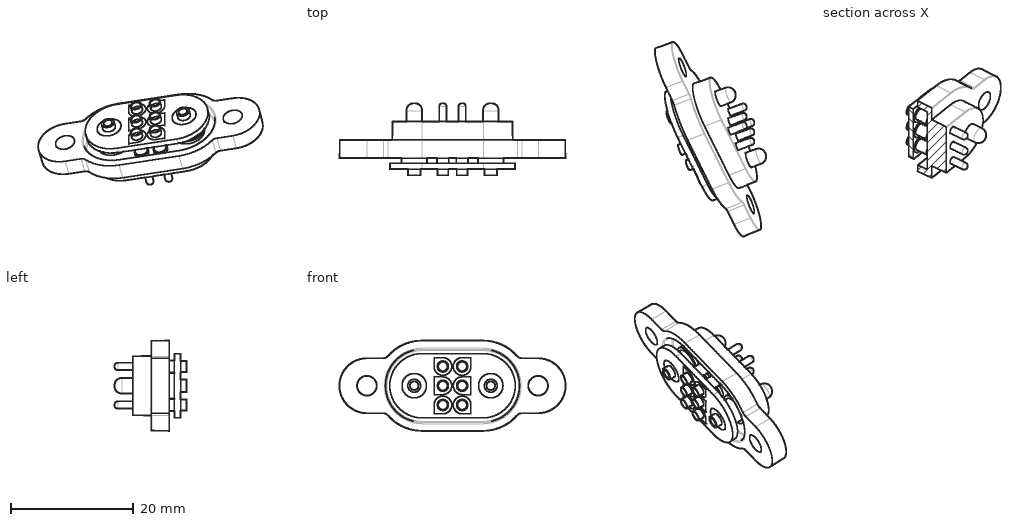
import cadquery as cq
import math


flange_thickness = 3.0
boss_height = 3.0
pin_projection = 3.0
cavity_depth = 2.0
plate_gap = 0.8
plate_thickness = 1.0
lead_length = 1.0

boss_end = flange_thickness + boss_height
pin_tip = boss_end + pin_projection
plate_back = -plate_gap
plate_front = plate_back - plate_thickness
lead_end = plate_front - lead_length

arc_center_x = 5.0
flange_radius = 7.4
cavity_radius = 6.18
plate_radius = 5.25
boss_radius = 4.9

overall_length = 37.0
ear_radius = 4.5
ear_center_x = overall_length / 2 - ear_radius
ear_hole_diameter = 3.2
ear_blend_radius = 1.0

draft_angle = 1.0
rear_edge_radius = 0.1
cavity_edge_radius = 0.2

guide_x = 6.25
guide_diameter = 2.6
guide_shoulder_diameter = 5.25
guide_collar_diameter = 4.2
guide_pad_diameter = 4.0
guide_lead_diameter = 2.1
guide_dome_height = 1.22

contact_pitch = 3.15
contact_diameter = 1.22
contact_shoulder_diameter = 2.3
contact_collar_diameter = 2.0
contact_pad_radius = 1.45
contact_lead_diameter = 1.8
contact_dome_height = 0.55

shoulder_front = 1.48
guide_bore_diameter = 1.4
contact_bore_diameter = 1.5
bore_depth = 2.0
drill_point_angle = 118.0

guide_positions = [(-guide_x, 0), (guide_x, 0)]
contact_cells = [(column, row) for column in (-1, 1) for row in (-1, 0, 1)]


def contact_position(column, row):
    return (column * contact_pitch / 2, row * contact_pitch)


def rearward(y):
    """Workplane across the mating axis at y, extruding toward +Y."""
    return cq.Workplane(cq.Plane(origin=(0, y, 0), xDir=(1, 0, 0), normal=(0, 1, 0)))


def disc(x, z, diameter, y_start, y_end):
    return rearward(y_start).center(x, -z).circle(diameter / 2).extrude(y_end - y_start)


def stadium(center_x, radius, y_start, y_end, taper=0.0):
    """Slot-shaped block whose round ends are centred at +-center_x."""
    length = 2 * (center_x + radius)
    return rearward(y_start).slot2D(length, 2 * radius).extrude(y_end - y_start, taper=taper)


def nearest(x, y, z):
    return cq.selectors.NearestToPointSelector((x, y, z))


def make_flange():
    """Stadium with two ears, blended where the ears leave it."""
    body = stadium(arc_center_x, flange_radius, 0, flange_thickness, draft_angle)
    ears = stadium(ear_center_x, ear_radius, 0, flange_thickness, draft_angle)
    flange = body.union(ears)
    corner_x = arc_center_x + math.sqrt(flange_radius**2 - ear_radius**2)
    for side in (-1, 1):
        for level in (-1, 1):
            corner = nearest(side * corner_x, flange_thickness / 2, level * ear_radius)
            flange = flange.edges(corner).fillet(ear_blend_radius)
    return flange.faces(">Y").edges().fillet(rear_edge_radius)


def make_cavity():
    """Drafted recess with a rounded floor edge; its rim is rounded separately."""
    rim_radius = cavity_radius - cavity_edge_radius
    recess = stadium(arc_center_x, rim_radius, 0, cavity_depth, draft_angle)
    return recess.faces(">Y").edges().fillet(cavity_edge_radius)


def make_housing():
    boss = stadium(arc_center_x, boss_radius, flange_thickness, boss_end, draft_angle)
    boss = boss.faces(">Y").edges().fillet(rear_edge_radius)
    housing = make_flange().union(boss).cut(make_cavity())
    rim = nearest(0, 0, cavity_radius - cavity_edge_radius)
    housing = housing.edges(rim).fillet(cavity_edge_radius)
    for side in (-1, 1):
        housing = housing.cut(disc(side * ear_center_x, 0, ear_hole_diameter, 0, flange_thickness))
    for x, z in guide_positions:
        housing = housing.cut(disc(x, z, guide_diameter, cavity_depth, boss_end))
    for cell in contact_cells:
        housing = housing.cut(disc(*contact_position(*cell), contact_diameter, cavity_depth, boss_end))
    return housing


def turned_pin(x, z, diameter, dome_height, shoulder_diameter, collar_diameter, lead_diameter):
    """Domed shank, shoulder seated on the cavity floor, collar behind the plate, and lead."""
    shank = disc(x, z, diameter, cavity_depth, pin_tip).faces(">Y").edges().fillet(dome_height)
    shoulder = disc(x, z, shoulder_diameter, shoulder_front, cavity_depth)
    collar = disc(x, z, collar_diameter, plate_back, shoulder_front)
    lead = disc(x, z, lead_diameter, lead_end, plate_back)
    return shank.union(shoulder).union(collar).union(lead)


def bore(x, z, diameter):
    return disc(x, z, diameter, lead_end, lead_end + bore_depth)


def drill_point(x, z):
    radius = guide_bore_diameter / 2
    height = radius / math.tan(math.radians(drill_point_angle / 2))
    base = cq.Vector(x, lead_end + bore_depth, z)
    return cq.Workplane(cq.Solid.makeCone(radius, 0, height, base, cq.Vector(0, 1, 0)))


def guide_pad(x, z):
    return disc(x, z, guide_pad_diameter, plate_front, plate_back)


def contact_pad(column, row):
    """Round pad with square corners toward the outside of the contact array."""
    x, z = contact_position(column, row)
    pad = disc(x, z, 2 * contact_pad_radius, plate_front, plate_back)
    corner_size = (contact_pad_radius, plate_thickness, contact_pad_radius)
    corner_rows = (row,) if row else (-1, 1)
    for corner_row in corner_rows:
        corner = cq.Workplane("XY").box(*corner_size).translate((
            x + column * contact_pad_radius / 2,
            (plate_front + plate_back) / 2,
            z + corner_row * contact_pad_radius / 2,
        ))
        pad = pad.union(corner)
    return pad


def make_plate():
    plate = stadium(arc_center_x, plate_radius, plate_front, plate_back)
    for x, z in guide_positions:
        plate = plate.cut(guide_pad(x, z))
    for cell in contact_cells:
        plate = plate.cut(contact_pad(*cell))
    return plate


def make_guide_pin(x, z):
    pin = turned_pin(
        x, z, guide_diameter, guide_dome_height,
        guide_shoulder_diameter, guide_collar_diameter, guide_lead_diameter,
    )
    return pin.union(guide_pad(x, z)).cut(bore(x, z, guide_bore_diameter)).cut(drill_point(x, z))


def make_contact(column, row):
    x, z = contact_position(column, row)
    pin = turned_pin(
        x, z, contact_diameter, contact_dome_height,
        contact_shoulder_diameter, contact_collar_diameter, contact_lead_diameter,
    )
    return pin.union(contact_pad(column, row)).cut(bore(x, z, contact_bore_diameter))


housing = make_housing()
plate = make_plate()
guide_pins = [make_guide_pin(x, z).val() for x, z in guide_positions]
contacts = [make_contact(column, row).val() for column, row in contact_cells]
result = cq.Compound.makeCompound([housing.val(), plate.val(), *guide_pins, *contacts])